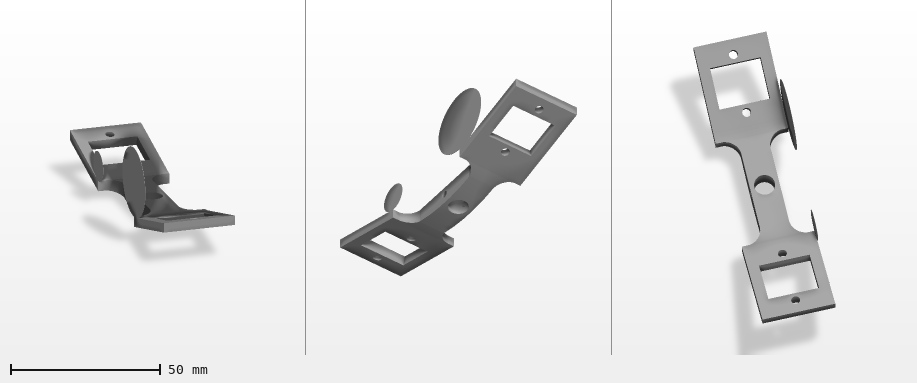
import cadquery as cq
import math

width = 25.0
height = 30.9
left_end = -49.1
right_end = 51.2
wing_angle = 15.0
slope = math.tan(math.radians(wing_angle))

neck_half_length = 19.0
neck_width = 10.0
corner_size = 4.9
corner_radius = 5.8
deck_z = 6.6
belly_rise = 3.0
bore_x = 0.9
bore_diameter = 7.0
cross_hole_z = 3.7
cross_hole_diameter = 2.4

left_tip_z = 14.6
right_tip_z = 14.9
left_blend_x = -20.5
right_blend_x = 22.3

left_window_x = -34.7
right_window_x = 36.5
window_length = 14.2
window_width = 17.4
screw_spacing = 20.0
screw_diameter = 3.0

small_disc_diameter = 10.4
large_disc_diameter = height - deck_z
disc_thickness = 0.1

cut_depth = 10.0


def left_top_z(x):
    return left_tip_z - (x - left_end) * slope


def right_top_z(x):
    return right_tip_z - (right_end - x) * slope


def blend_middle(blend_x, blend_z):
    """Middle of the arc from the deck edge up to a wing, tangent to the wing."""
    side = math.copysign(1, blend_x)
    run = abs(blend_x) - neck_half_length
    rise = blend_z - deck_z
    bend = math.radians(wing_angle) - math.atan2(rise, run)
    sag_ratio = math.tan(bend / 2) / 2
    x = neck_half_length + run / 2 + rise * sag_ratio
    z = deck_z + rise / 2 - run * sag_ratio
    return (side * x, z)


def make_body():
    """Side profile: arched belly, sloping wings and a flat deck."""
    left_bottom_z = belly_rise + (-neck_half_length - left_end) * slope
    right_bottom_z = belly_rise + (right_end - neck_half_length) * slope
    left_blend = (left_blend_x, left_top_z(left_blend_x))
    right_blend = (right_blend_x, right_top_z(right_blend_x))
    return (
        cq.Workplane("XZ", origin=(0, width / 2, 0))
        .moveTo(left_end, left_bottom_z)
        .lineTo(-neck_half_length, belly_rise)
        .threePointArc((0, 0), (neck_half_length, belly_rise))
        .lineTo(right_end, right_bottom_z)
        .lineTo(right_end, right_tip_z)
        .lineTo(*right_blend)
        .threePointArc(blend_middle(*right_blend), (neck_half_length, deck_z))
        .lineTo(-neck_half_length, deck_z)
        .threePointArc(blend_middle(*left_blend), left_blend)
        .lineTo(left_end, left_tip_z)
        .close()
        .extrude(width)
    )


def neck_relief():
    """Cutter for the notch on the +Y side of the neck, with arched inner corners."""
    neck_y = neck_width / 2
    arc_x = neck_half_length - corner_size
    arc_y = neck_y + corner_size
    return (
        cq.Workplane("XY")
        .moveTo(-neck_half_length, width)
        .lineTo(-neck_half_length, arc_y)
        .radiusArc((-arc_x, neck_y), -corner_radius)
        .lineTo(arc_x, neck_y)
        .radiusArc((neck_half_length, arc_y), -corner_radius)
        .lineTo(neck_half_length, width)
        .close()
        .extrude(height)
    )


def wing_cutters(window_x, top_z, direction):
    """Window and two screw holes, square to the wing rising along direction."""
    angle = math.radians(wing_angle)
    plane = cq.Plane(
        origin=(window_x, 0, top_z),
        xDir=(math.cos(angle), 0, direction * math.sin(angle)),
        normal=(-direction * math.sin(angle), 0, math.cos(angle)),
    )
    window = cq.Workplane(plane).rect(window_length, window_width).extrude(cut_depth, both=True)
    screws = (
        cq.Workplane(plane)
        .pushPoints([(-screw_spacing / 2, 0), (screw_spacing / 2, 0)])
        .circle(screw_diameter / 2)
        .extrude(cut_depth, both=True)
    )
    return window.union(screws)


def disc(x, diameter):
    """Thin disc flush with the front face, standing on the deck level."""
    return (
        cq.Workplane("XZ", origin=(x, -width / 2 + disc_thickness, deck_z + diameter / 2))
        .circle(diameter / 2)
        .extrude(disc_thickness)
    )


bore = cq.Workplane("XY").center(bore_x, 0).circle(bore_diameter / 2).extrude(height)
cross_hole = (
    cq.Workplane("XZ")
    .center(0, cross_hole_z)
    .circle(cross_hole_diameter / 2)
    .extrude(width, both=True)
)

result = make_body()
result = result.cut(neck_relief()).cut(neck_relief().mirror("XZ"))
result = result.cut(bore).cut(cross_hole)
result = result.cut(wing_cutters(left_window_x, left_top_z(left_window_x), -1))
result = result.cut(wing_cutters(right_window_x, right_top_z(right_window_x), 1))
result = result.union(disc(-neck_half_length, small_disc_diameter))
result = result.union(disc(neck_half_length, large_disc_diameter))